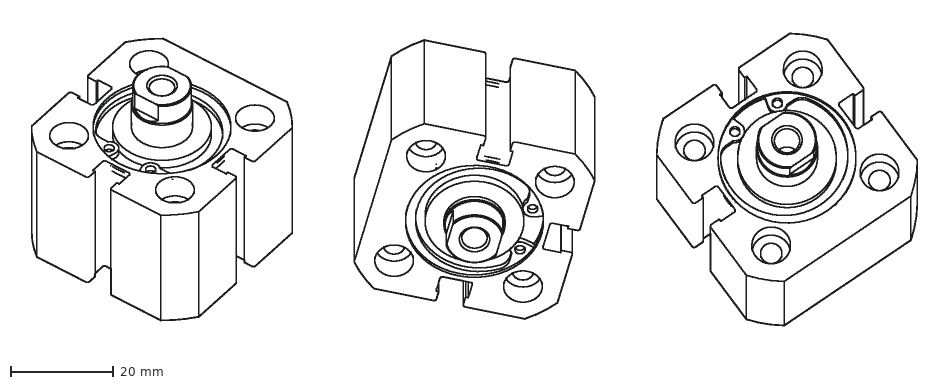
import cadquery as cq
import math

overall_length = 45.0

housing_width = 41.0
housing_height = 28.0
housing_corner_radius = 25.5
bore_radius = 13.5

bolt_spacing = 25.95
bolt_hole_diameter = 4.2
bolt_head_diameter = 7.55
bolt_head_depth = 5.1

slot_mouth_width = 5.4
slot_inner_width = 6.5
slot_lip_depth = 2.35
slot_fillet = 0.5
groove_wall = 0.15

ring_depth = 0.8
ring_thickness = 1.2
ring_radius = 14.35
ring_inner_radius = 12.45
ring_inner_offset = 0.95
lug_radius = 1.9
lug_x = 5.1
lug_y = -10.45
lug_hole_diameter = 2.0
lug_web_y = -9.1
web_fillet = 2.92

head_collar_radius = 9.68
head_flange_thickness = 5.85

rod_radius = 6.0
rod_end_radius = 5.75
rod_end_length = 5.0
rod_tip_chamfer = 0.22
rod_top_projection = 11.0
flat_width = 10.0
flat_length = 4.0
thread_radius = 2.48
thread_mouth_radius = 2.95
thread_depth = 12.0
drill_point_angle = 118.0

rod_bottom = housing_height + rod_top_projection - overall_length
slot_floor = ring_radius + groove_wall
flange_depth = ring_depth + ring_thickness


def mirror_to_bottom(body):
    """Copy a body at the top of the housing to the bottom end."""
    return body.mirror("XY", (0, 0, housing_height / 2))


def disc(radius, bottom, height):
    """Cylinder on the rod axis."""
    return cq.Workplane("XY").workplane(offset=bottom).circle(radius).extrude(height)


def slot_cutter(angle):
    """Undercut slot for sensors along the height, opening on the -Y side and turned about Z."""
    face = housing_width / 2
    mouth = (
        cq.Workplane("XY")
        .center(0, -(slot_floor + face) / 2)
        .rect(slot_mouth_width, face - slot_floor)
        .extrude(housing_height)
    )
    lip_inside = face - slot_lip_depth
    inner = (
        cq.Workplane("XY")
        .center(0, -(slot_floor + lip_inside) / 2)
        .rect(slot_inner_width, lip_inside - slot_floor)
        .extrude(housing_height)
        .edges("|Z and >Y")
        .fillet(slot_fillet)
    )
    return mouth.union(inner).rotate((0, 0, 0), (0, 0, 1), angle)


def round_slot_edges(body):
    """Round the outer edges of the three slot mouths."""
    face = housing_width / 2
    half_mouth = slot_mouth_width / 2
    middle = housing_height / 2
    for side in (-1, 1):
        mouth_edges = (
            (side * half_mouth, -face, middle),
            (-face, side * half_mouth, middle),
            (face, side * half_mouth, middle),
        )
        for point in mouth_edges:
            body = body.edges(cq.selectors.NearestToPointSelector(point)).fillet(slot_fillet)
    return body


def make_housing():
    body = cq.Workplane("XY").rect(housing_width, housing_width).extrude(housing_height)
    body = body.intersect(disc(housing_corner_radius, 0, housing_height))
    for angle in (-90, 0, 90):
        body = body.cut(slot_cutter(angle))
    body = round_slot_edges(body)

    bolt_points = cq.Workplane("XY").rect(bolt_spacing, bolt_spacing, forConstruction=True).vertices()
    body = body.cut(bolt_points.circle(bolt_hole_diameter / 2).extrude(housing_height))
    bottom_recesses = bolt_points.circle(bolt_head_diameter / 2).extrude(bolt_head_depth)
    body = body.cut(bottom_recesses).cut(mirror_to_bottom(bottom_recesses))

    body = body.cut(disc(bore_radius, 0, housing_height))
    top_groove = disc(ring_radius, housing_height - flange_depth, ring_thickness)
    return body.cut(top_groove).cut(mirror_to_bottom(top_groove))


def make_top_ring():
    """Internal retaining ring with two holed lugs beside a radial gap toward -Y."""
    bottom = housing_height - flange_depth
    plane = cq.Workplane("XY").workplane(offset=bottom)
    outer = disc(ring_radius, bottom, ring_thickness)
    opening = plane.center(0, -ring_inner_offset).circle(ring_inner_radius).extrude(ring_thickness)

    lug_distance = math.hypot(lug_x, lug_y)
    gap_half_angle = math.atan2(lug_x, -lug_y) - math.asin(lug_radius / lug_distance)
    touch_distance = math.sqrt(lug_distance**2 - lug_radius**2)
    outside = 2 * ring_radius

    def gap_side(distance, side):
        return (side * distance * math.sin(gap_half_angle), -distance * math.cos(gap_half_angle))

    gap = plane.polyline([(0, 0), gap_side(outside, -1), gap_side(outside, 1)]).close()
    ring = outer.cut(opening).cut(gap.extrude(ring_thickness))

    for side in (-1, 1):
        web_outline = [
            (side * lug_x, lug_web_y),
            (side * lug_x, lug_y),
            gap_side(touch_distance, side),
            gap_side(outside, side),
            (side * outside, -outside),
            (side * outside, lug_web_y),
        ]
        web = plane.polyline(web_outline).close().extrude(ring_thickness).intersect(outer)
        lug = plane.center(side * lug_x, lug_y).circle(lug_radius).extrude(ring_thickness)
        ring = ring.union(web).union(lug)

    corner_x = math.sqrt(ring_inner_radius**2 - (lug_web_y + ring_inner_offset) ** 2)
    for side in (-1, 1):
        corner = (side * corner_x, lug_web_y, bottom + ring_thickness / 2)
        ring = ring.edges(cq.selectors.NearestToPointSelector(corner)).fillet(web_fillet)

    lug_points = [(-lug_x, lug_y), (lug_x, lug_y)]
    return ring.cut(plane.pushPoints(lug_points).circle(lug_hole_diameter / 2).extrude(ring_thickness))


def make_top_head():
    """Rod guide: a flange held by the retaining ring and a collar flush with the housing end."""
    flange_top = housing_height - flange_depth
    flange_bottom = flange_top - head_flange_thickness
    flange = disc(bore_radius, flange_bottom, head_flange_thickness)
    collar = disc(head_collar_radius, flange_top, flange_depth)
    return flange.union(collar).cut(disc(rod_radius, flange_bottom, housing_height))


def wrench_flat_cutter():
    """Cutter for the -Y flat of an upward rod end whose tip is at Z = 0, with a 45 degree runout."""
    flat_y = -flat_width / 2
    reach = rod_radius - flat_width / 2
    profile = [
        (flat_y, 0),
        (flat_y, -flat_length),
        (flat_y - reach, -flat_length - reach),
        (flat_y - reach, 0),
    ]
    return cq.Workplane("YZ").polyline(profile).close().extrude(rod_radius, both=True)


def tapped_hole_cutter():
    """Drilled hole with a 45 degree mouth, entering downward from Z = 0."""
    mouth_depth = thread_mouth_radius - thread_radius
    point_length = thread_radius / math.tan(math.radians(drill_point_angle / 2))
    profile = [
        (0, 0),
        (thread_mouth_radius, 0),
        (thread_radius, -mouth_depth),
        (thread_radius, -thread_depth),
        (0, -thread_depth - point_length),
    ]
    return cq.Workplane("XZ").polyline(profile).close().revolve(360, (0, 0, 0), (0, 1, 0))


def make_rod():
    """Through rod turned down at both ends, each end with two wrench flats and a tapped hole."""
    shoulder_chamfer = rod_radius - rod_end_radius
    tip_radius = rod_end_radius - rod_tip_chamfer
    half_profile = [
        (0, overall_length / 2),
        (rod_radius, overall_length / 2),
        (rod_radius, overall_length - rod_end_length),
        (rod_end_radius, overall_length - rod_end_length + shoulder_chamfer),
        (rod_end_radius, overall_length - rod_tip_chamfer),
        (tip_radius, overall_length),
        (0, overall_length),
    ]
    half = cq.Workplane("XZ").polyline(half_profile).close().revolve(360, (0, 0, 0), (0, 1, 0))

    tip = (0, 0, overall_length)
    flat = wrench_flat_cutter().translate(tip)
    half = half.cut(flat).cut(flat.mirror("XZ")).cut(tapped_hole_cutter().translate(tip))
    rod = half.union(half.mirror("XY", (0, 0, overall_length / 2)))
    return rod.translate((0, 0, rod_bottom))


housing = make_housing()
rod = make_rod()
top_head = make_top_head()
top_ring = make_top_ring()

bodies = [housing.val(), rod.val()]
for end_body in (top_head, top_ring):
    bodies.append(end_body.val())
    bodies.append(mirror_to_bottom(end_body).val())

result = cq.Compound.makeCompound(bodies)